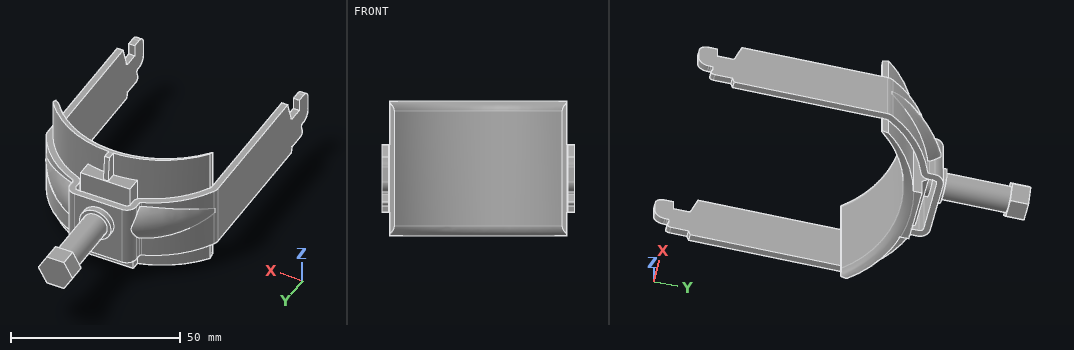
import cadquery as cq
import math


sheet = 2.0
outer_width = 57.0
leg_half_gap = outer_width / 2 - sheet
leg_tip_y = -57.2
strap_top_z = 7.5
strap_bottom_z = -12.6
shoulder_radius = 29.8
shoulder_center_y = -13.2
crown_half_gap = 9.0
crown_inner_y = 20.0
crown_outer_y = crown_inner_y + sheet
crown_bend_radius = 1.2
neck_bend_radius = 2.7
leg_bend_radius = 1.7

slot_floor_z = 0.0
slot_start_y = -46.5
slot_end_y = -51.5
slot_ramp_y = -44.2
hook_top_z = 3.8
hook_bottom_z = -6.5
hook_radius = 3.0
toe_top_y = -52.7
toe_tip_y = -53.6
toe_bottom_z = -10.6
toe_radius = 1.2
slot_corner_radius = 0.9
toe_corner_radius = 0.6
heel_y = -47.1
heel_bottom_y = -46.5

swage_leg_end = (-28.2, 1.6)
swage_crown_end = (-8.5, 21.8)
swage_rise = 2.5
swage_leg_end_radius = 8.0
swage_crown_end_radius = 4.8

shank_diameter = 8.0
head_across_flats = 9.9
head_height = 5.5
bolt_top_y = 49.3

collar_diameter = 10.4
collar_height = 1.9

saddle_top_z = 20.5
saddle_bottom_z = -19.6
saddle_half_width = 26.2
saddle_end_y = -0.9
saddle_outer_radius = 33.0
saddle_outer_apex_y = 14.0
saddle_inner_radius = 32.0
saddle_inner_apex_y = 11.0
saddle_rim_radius = 3.1

block_width = 16.5
block_back_y = 17.6
block_top_z = 12.1
tail_back_y = 15.5
tail_start_z = -13.2
rib_width = 1.6
rib_top_back_y = 16.5
rib_root_back_y = 17.3


def prism(sketch_on_xy, bottom_z, top_z):
    """Extrude a closed XY outline between two heights."""
    return sketch_on_xy.extrude(top_z - bottom_z).translate((0, 0, bottom_z))


def disc(center_y, radius, bottom_z, top_z):
    return prism(cq.Workplane("XY").center(0, center_y).circle(radius), bottom_z, top_z)


def slab(half_width, y_min, y_max, bottom_z, top_z):
    middle_y = (y_min + y_max) / 2
    outline = cq.Workplane("XY").center(0, middle_y).rect(2 * half_width, y_max - y_min)
    return prism(outline, bottom_z, top_z)


def rod_along_y(diameter, y_min, y_max):
    return cq.Workplane("XZ", origin=(0, y_min, 0)).circle(diameter / 2).extrude(y_min - y_max)


def strap_envelope(offset):
    """Everything inside the strap surface that lies `offset` outside its inner surface."""
    z_range = (strap_bottom_z, strap_top_z)
    half_gap = leg_half_gap + offset
    radius = shoulder_radius + offset
    crown_half = crown_half_gap + offset
    crown_y = crown_inner_y + offset

    arch = disc(shoulder_center_y, radius, *z_range)
    body = slab(half_gap, leg_tip_y, crown_y, *z_range)
    body = body.intersect(arch.union(slab(half_gap, leg_tip_y, shoulder_center_y, *z_range)))
    body = body.union(slab(crown_half, shoulder_center_y, crown_y, *z_range))

    leg_bend_y = shoulder_center_y + math.sqrt(radius**2 - half_gap**2)
    neck_y = shoulder_center_y + math.sqrt(radius**2 - crown_half**2)
    bends = (
        (half_gap, leg_bend_y, leg_bend_radius + offset),
        (crown_half, neck_y, neck_bend_radius - offset),
        (crown_half, crown_y, crown_bend_radius + offset),
    )
    for x, y, bend_radius in bends:
        for side in (-1, 1):
            corner = cq.selectors.NearestToPointSelector((side * x, y, sum(z_range) / 2))
            body = body.edges("|Z").edges(corner).fillet(bend_radius)
    return body


def leg_outline():
    """Side shape of a leg, with the hook at its tip and the plain part running past the crown."""
    outline = (
        cq.Workplane("YZ", origin=(-2 * leg_half_gap, 0, 0))
        .moveTo(bolt_top_y, strap_top_z)
        .lineTo(slot_ramp_y, strap_top_z)
        .lineTo(slot_start_y, slot_floor_z)
        .lineTo(slot_end_y, slot_floor_z)
        .lineTo(slot_end_y, hook_top_z)
        .lineTo(leg_tip_y + hook_radius, hook_top_z)
        .radiusArc((leg_tip_y, hook_top_z - hook_radius), -hook_radius)
        .lineTo(leg_tip_y, hook_bottom_z + hook_radius)
        .radiusArc((leg_tip_y + hook_radius, hook_bottom_z), -hook_radius)
        .lineTo(toe_top_y, hook_bottom_z)
        .lineTo(toe_tip_y, toe_bottom_z + toe_radius)
        .radiusArc((toe_tip_y + toe_radius, toe_bottom_z), -toe_radius)
        .lineTo(heel_y, toe_bottom_z)
        .lineTo(heel_bottom_y, strap_bottom_z)
        .lineTo(bolt_top_y, strap_bottom_z)
        .close()
    )
    side = outline.extrude(4 * leg_half_gap)
    inner_corners = (
        (slot_start_y, slot_floor_z, slot_corner_radius),
        (toe_top_y, hook_bottom_z, toe_corner_radius),
    )
    for y, z, corner_radius in inner_corners:
        corner = cq.selectors.NearestToPointSelector((0, y, z))
        side = side.edges("|X").edges(corner).fillet(corner_radius)
    return side


def left_swage():
    """Solid of revolution about an axis below the chord of the swage crest."""
    (x0, y0), (x1, y1) = swage_leg_end, swage_crown_end
    length = math.hypot(x1 - x0, y1 - y0)
    along = ((x1 - x0) / length, (y1 - y0) / length)
    outward = (-along[1], along[0])

    def point(distance_along, height):
        return (
            x0 + distance_along * along[0] + height * outward[0],
            y0 + distance_along * along[1] + height * outward[1],
        )

    axis_start = point(0, -swage_leg_end_radius)
    axis_end = point(length, -swage_crown_end_radius)
    return (
        cq.Workplane("XY")
        .moveTo(*axis_start)
        .lineTo(x0, y0)
        .threePointArc(point(length / 2, swage_rise), (x1, y1))
        .lineTo(*axis_end)
        .close()
        .revolve(360, axis_start, axis_end)
    )


def make_strap():
    swage = left_swage()
    band = strap_envelope(sheet).union(swage).union(swage.mirror("YZ"))
    strap = band.cut(strap_envelope(0)).intersect(leg_outline())
    return strap.cut(rod_along_y(shank_diameter, block_back_y, bolt_top_y))


def make_bolt():
    head_base_y = bolt_top_y - head_height
    across_corners = head_across_flats / math.cos(math.radians(30))
    head = cq.Workplane("XZ", origin=(0, head_base_y, 0)).polygon(6, across_corners).extrude(-head_height)
    return rod_along_y(shank_diameter, block_back_y, head_base_y).union(head)


def make_collar():
    collar_top_y = crown_outer_y + collar_height
    ring = rod_along_y(collar_diameter, crown_outer_y, collar_top_y)
    return ring.cut(rod_along_y(shank_diameter, crown_outer_y, collar_top_y))


def saddle_bore():
    """Pipe-side hollow of the saddle, flaring outward in a rounded rim at both ends."""
    rim_outer = saddle_inner_radius + saddle_rim_radius
    center_y = saddle_inner_apex_y - saddle_inner_radius
    return (
        cq.Workplane("XZ", origin=(0, center_y, 0))
        .moveTo(0, saddle_bottom_z)
        .lineTo(rim_outer, saddle_bottom_z)
        .radiusArc((saddle_inner_radius, saddle_bottom_z + saddle_rim_radius), saddle_rim_radius)
        .lineTo(saddle_inner_radius, saddle_top_z - saddle_rim_radius)
        .radiusArc((rim_outer, saddle_top_z), saddle_rim_radius)
        .lineTo(0, saddle_top_z)
        .close()
        .revolve(360, (0, 0), (0, 1))
    )


def saddle_back():
    """Pressure block with its lower tail, and the sloping rib above it."""
    ramp = block_back_y - tail_back_y
    block = (
        cq.Workplane("YZ", origin=(-block_width / 2, 0, 0))
        .moveTo(0, saddle_bottom_z)
        .lineTo(tail_back_y, saddle_bottom_z)
        .lineTo(tail_back_y, tail_start_z)
        .lineTo(block_back_y, tail_start_z + ramp)
        .lineTo(block_back_y, block_top_z)
        .lineTo(0, block_top_z)
        .close()
        .extrude(block_width)
    )
    rib = (
        cq.Workplane("YZ", origin=(-rib_width / 2, 0, 0))
        .moveTo(0, block_top_z)
        .lineTo(rib_root_back_y, block_top_z)
        .lineTo(rib_top_back_y, saddle_top_z)
        .lineTo(0, saddle_top_z)
        .close()
        .extrude(rib_width)
    )
    return block.union(rib)


def make_saddle():
    z_range = (saddle_bottom_z, saddle_top_z)
    shell = disc(saddle_outer_apex_y - saddle_outer_radius, saddle_outer_radius, *z_range)
    shell = shell.intersect(slab(saddle_half_width, saddle_end_y, saddle_outer_apex_y, *z_range))
    return shell.union(saddle_back()).cut(saddle_bore())


strap = make_strap()
bolt = make_bolt()
collar = make_collar()
saddle = make_saddle()

result = cq.Compound.makeCompound([*strap.solids().vals(), bolt.val(), collar.val(), saddle.val()])